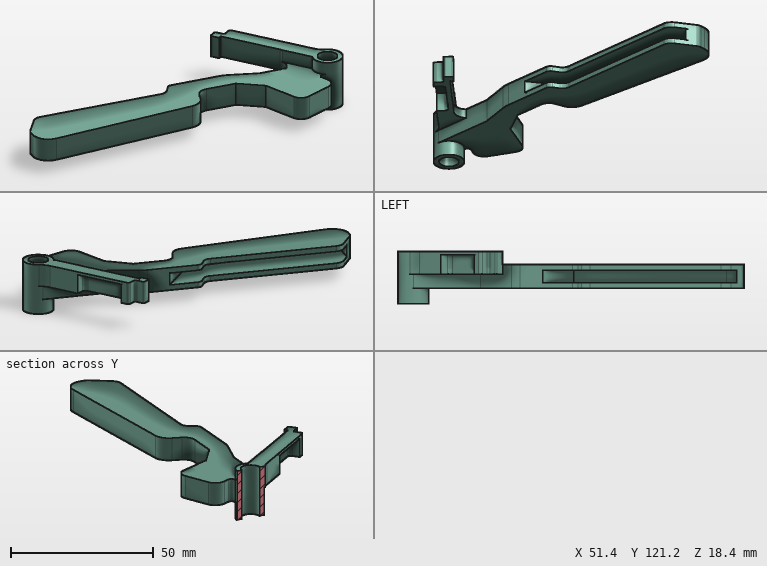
import math

import cadquery as cq


TOTAL_HEIGHT = 18.39
PLATE_BOTTOM = 5.4
PLATE_THICKNESS = 8.4
ARM_THICKNESS = 8.0
SLOT_HEIGHT = 4.4
PLATE_TOP = PLATE_BOTTOM + PLATE_THICKNESS
ARM_BOTTOM = TOTAL_HEIGHT - ARM_THICKNESS
SLOT_BOTTOM = PLATE_BOTTOM + (PLATE_THICKNESS - SLOT_HEIGHT) / 2

BARREL_RADIUS = 5.4
BORE_RADIUS = 3.5

HEAD_TILT = 25.2
HEAD_TOP_OFFSET = 6.97
HEAD_LENGTH = 10.2
HEAD_WIDTH = 18.0
HEAD_TOP_RADIUS = 4.0
HEAD_END_RADIUS = 3.85
HEAD_BARREL_RADIUS = 1.35
HEAD_HEEL = (4.55, -25.4)

NECK_LEFT_TOP = -23.5
NECK_LEFT_X = -8.9
NECK_LEFT_Y = -35.7
NECK_LEFT_RADIUS = 11.0
NECK_RIGHT_X = -1.15
NECK_RIGHT_TOP = -34.4
NECK_RIGHT_BOTTOM = -48.75
NECK_RIGHT_RADIUS = 4.2

STEP_TOP_Y = -56.95
STEP_TOP_RADIUS = 2.2
STEP_BOTTOM_Y = -59.8
STEP_BOTTOM_RADIUS = 3.3

GRIP_LEFT_X = -3.8
GRIP_LEFT_BOTTOM = -109.9
GRIP_LEFT_RADIUS = 4.0
GRIP_END_Y = -115.8
GRIP_END_SLOPE = math.radians(32)
GRIP_END_RADIUS = 3.1
GRIP_CORNER_X = 14.7
GRIP_CORNER_RADIUS = 5.9
SHOULDER = (8.95, -51.7)
SHOULDER_RADIUS = 5.6

SLOT_WALL = 2.5
SLOT_START_Y = -45.35
SLOT_CORNER_Y = -56.1

ARM_ANGLE = 220.3
ARM_OUTER = 3.2
ARM_INNER = -2.8
ARM_START = -2.0
ARM_END = 40.0
ARM_CORNER_RADIUS = 1.0
ARM_BARREL_RADIUS = 6.4
TIP_START = 40.4
TIP_END = 43.85
TIP_OUTER = -0.6
TIP_INNER = -4.1
TIP_RADIUS = 0.5
NECKING_RADIUS = 0.75

POCKET_START = 18.7
POCKET_END = 36.8
POCKET_DEPTH = 4.15
POCKET_RADIUS = 1.3
POCKET_ROOF = 1.1

WEB_START = 17.3
WEB_RADIUS = 4.4
ROOT_STEP = 0.12


def frame_point(angle, along, across):
    """Point at `along` in the direction `angle` (degrees) and `across` to the left of it."""
    a = math.radians(angle)
    x = along * math.cos(a) - across * math.sin(a)
    y = along * math.sin(a) + across * math.cos(a)
    return (x, y)


def arm_point(s, n):
    return frame_point(ARM_ANGLE, s, -n)


def head_point(s, n):
    return frame_point(HEAD_TILT, s, n)


def toward(start, end, distance):
    """Point at `distance` from `start` on the way to `end`."""
    share = distance / math.dist(start, end)
    return (start[0] + share * (end[0] - start[0]), start[1] + share * (end[1] - start[1]))


def midpoint(a, b):
    return ((a[0] + b[0]) / 2, (a[1] + b[1]) / 2)


def corner_arc(before, corner, after, radius):
    """Start, middle and end of the tangent arc that rounds one corner."""
    to_before = math.atan2(before[1] - corner[1], before[0] - corner[0])
    to_after = math.atan2(after[1] - corner[1], after[0] - corner[0])
    half_angle = abs(math.remainder(to_before - to_after, 2 * math.pi)) / 2
    tangent_length = radius / math.tan(half_angle)
    start = toward(corner, before, tangent_length)
    end = toward(corner, after, tangent_length)
    middle = toward(corner, midpoint(start, end), radius / math.sin(half_angle) - radius)
    return start, middle, end


def rounded_prism(corners, bottom, top):
    """Prism over a polygon given as (point, corner radius) pairs; radius 0 keeps a corner sharp."""
    outline = cq.Workplane("XY").workplane(offset=bottom).moveTo(*corners[0][0])
    for i in range(1, len(corners)):
        corner, radius = corners[i]
        if radius == 0:
            outline = outline.lineTo(*corner)
            continue
        before = corners[i - 1][0]
        after = corners[(i + 1) % len(corners)][0]
        start, middle, end = corner_arc(before, corner, after, radius)
        outline = outline.lineTo(*start).threePointArc(middle, end)
    return outline.close().extrude(top - bottom)


def barrel_fillet(place, edge_offset, radius, bottom, top):
    """Fillet piece between the barrel and a straight edge lying at `edge_offset` across its frame.

    The piece reaches past the edge into the body and back to the pivot axis.
    """
    center_across = edge_offset + radius
    center_along = math.sqrt((BARREL_RADIUS + radius) ** 2 - center_across ** 2)
    center = place(center_along, center_across)
    on_barrel = toward((0, 0), center, BARREL_RADIUS)
    on_edge = place(center_along, edge_offset)
    inside_body = place(0, edge_offset - radius / 4)
    middle = toward(center, midpoint(on_barrel, on_edge), radius)
    outline = cq.Workplane("XY").workplane(offset=bottom).lineTo(*on_barrel)
    outline = outline.threePointArc(middle, on_edge).lineTo(*inside_body)
    return outline.close().extrude(top - bottom)


def make_plate():
    end_corner_x = GRIP_LEFT_X + (GRIP_LEFT_BOTTOM - GRIP_END_Y) / math.tan(GRIP_END_SLOPE)
    corners = [
        ((0, 0), 0),
        ((-BARREL_RADIUS, 0), 0),
        ((-BARREL_RADIUS, NECK_LEFT_TOP), 0),
        ((NECK_LEFT_X, NECK_LEFT_Y), NECK_LEFT_RADIUS),
        ((NECK_LEFT_X, STEP_TOP_Y), STEP_TOP_RADIUS),
        ((GRIP_LEFT_X, STEP_BOTTOM_Y), STEP_BOTTOM_RADIUS),
        ((GRIP_LEFT_X, GRIP_LEFT_BOTTOM), GRIP_LEFT_RADIUS),
        ((end_corner_x, GRIP_END_Y), GRIP_END_RADIUS),
        ((GRIP_CORNER_X, GRIP_END_Y), GRIP_CORNER_RADIUS),
        (SHOULDER, SHOULDER_RADIUS),
        ((NECK_RIGHT_X, NECK_RIGHT_BOTTOM), NECK_RIGHT_RADIUS),
        ((NECK_RIGHT_X, NECK_RIGHT_TOP), 0),
        (HEAD_HEEL, 0),
        (head_point(HEAD_LENGTH, -HEAD_TOP_OFFSET - HEAD_WIDTH), HEAD_END_RADIUS),
        (head_point(HEAD_LENGTH, -HEAD_TOP_OFFSET), HEAD_TOP_RADIUS),
        (head_point(0, -HEAD_TOP_OFFSET), 0),
    ]
    plate = rounded_prism(corners, PLATE_BOTTOM, PLATE_TOP)
    fillet = barrel_fillet(head_point, -HEAD_TOP_OFFSET, HEAD_BARREL_RADIUS, PLATE_BOTTOM, PLATE_TOP)
    return plate.union(fillet)


def make_slot():
    side_angle = math.atan2(GRIP_END_Y - SHOULDER[1], GRIP_CORNER_X - SHOULDER[0])

    def floor_x(y):
        side_x = SHOULDER[0] + (y - SHOULDER[1]) / math.tan(side_angle)
        return side_x + SLOT_WALL / math.sin(side_angle)

    slot_end_y = GRIP_END_Y + SLOT_WALL
    start = (NECK_LEFT_X, SLOT_START_Y)
    floor_corner = (floor_x(SLOT_CORNER_Y), SLOT_CORNER_Y)
    open_side_x = 2 * NECK_LEFT_X
    corners = [
        (toward(floor_corner, start, 2 * math.dist(floor_corner, start)), 0),
        (floor_corner, 0),
        ((floor_x(slot_end_y), slot_end_y), GRIP_CORNER_RADIUS - SLOT_WALL),
        ((open_side_x, slot_end_y), 0),
    ]
    return rounded_prism(corners, SLOT_BOTTOM, SLOT_BOTTOM + SLOT_HEIGHT)


def make_arm():
    corners = [
        (arm_point(ARM_START, ARM_INNER), 0),
        (arm_point(ARM_START, ARM_OUTER), 0),
        (arm_point(ARM_END, ARM_OUTER), ARM_CORNER_RADIUS),
        (arm_point(ARM_END, TIP_OUTER), NECKING_RADIUS),
        (arm_point(TIP_END, TIP_OUTER), TIP_RADIUS),
        (arm_point(TIP_END, TIP_INNER), TIP_RADIUS),
        (arm_point(TIP_START, TIP_INNER), 0),
        (arm_point(TIP_START, ARM_INNER), 0),
    ]
    arm = rounded_prism(corners, ARM_BOTTOM, TOTAL_HEIGHT)
    fillet = barrel_fillet(arm_point, ARM_OUTER, ARM_BARREL_RADIUS, ARM_BOTTOM, TOTAL_HEIGHT)
    return arm.union(fillet)


def make_pocket():
    floor = ARM_OUTER - POCKET_DEPTH
    corners = [
        (arm_point(POCKET_START, ARM_OUTER), 0),
        (arm_point(POCKET_START, floor), POCKET_RADIUS),
        (arm_point(POCKET_END, floor), POCKET_RADIUS),
        (arm_point(POCKET_END, ARM_OUTER), 0),
    ]
    return rounded_prism(corners, ARM_BOTTOM, TOTAL_HEIGHT - POCKET_ROOF)


def make_web():
    """Concave web, tangent to the arm and ending on the left edge of the plate."""
    on_arm = arm_point(WEB_START, ARM_INNER)
    center = arm_point(WEB_START, ARM_INNER - WEB_RADIUS)
    end_rise = math.sqrt(WEB_RADIUS ** 2 - (-BARREL_RADIUS - center[0]) ** 2)
    on_plate = (-BARREL_RADIUS, center[1] + end_rise)
    middle = toward(center, midpoint(on_arm, on_plate), WEB_RADIUS)
    outline = cq.Workplane("XY").workplane(offset=ARM_BOTTOM).lineTo(*on_arm)
    return outline.threePointArc(middle, on_plate).close().extrude(PLATE_TOP - ARM_BOTTOM)


def make_arm_root():
    """Thin full-height thickening of the arm's inner side, run out along the arc of the web."""
    root_inner = ARM_INNER - ROOT_STEP

    def arc_point(depth):
        run = math.sqrt(WEB_RADIUS ** 2 - (WEB_RADIUS - depth) ** 2)
        return arm_point(WEB_START - run, ARM_INNER - depth)

    outline = cq.Workplane("XY").workplane(offset=ARM_BOTTOM).moveTo(*arm_point(0, ARM_INNER))
    outline = outline.lineTo(*arm_point(0, root_inner)).lineTo(*arc_point(ROOT_STEP))
    outline = outline.threePointArc(arc_point(ROOT_STEP / 2), arm_point(WEB_START, ARM_INNER))
    return outline.close().extrude(ARM_THICKNESS)


barrel = cq.Workplane("XY").circle(BARREL_RADIUS).extrude(TOTAL_HEIGHT)
bore = cq.Workplane("XY").circle(BORE_RADIUS).extrude(TOTAL_HEIGHT)

lever = make_plate().cut(make_slot())
arm = make_arm().cut(make_pocket())
result = barrel.union(lever).union(arm).union(make_web()).union(make_arm_root()).cut(bore)